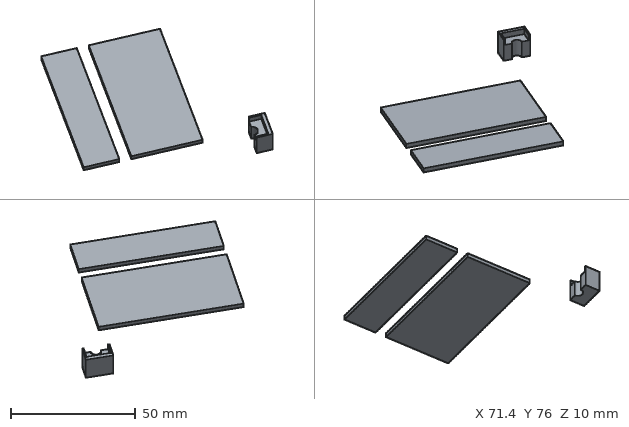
import cadquery as cq

plate_length = 60.0
plate_thickness = 2.0
narrow_plate_width = 15.0
wide_plate_width = 30.0
plate_gap = 5.0

block_length = 11.4
block_depth = 6.8
block_height = 10.0
total_depth = 76.05
block_front = total_depth - block_depth

side_wall = 0.7
back_wall = 1.7
pocket_depth = 2.5

notch_radius = 2.1


def make_plate(width, front):
    """Flat rectangular plate whose front edge lies at the given Y."""
    return (
        cq.Workplane("XY")
        .box(plate_length, width, plate_thickness, centered=False)
        .translate((0, front, 0))
    )


def make_block():
    """Block with a pocket open to the front and a half-round notch."""
    body = cq.Workplane("XY").box(block_length, block_depth, block_height, centered=False)
    pocket = (
        cq.Workplane("XY")
        .box(block_length - 2 * side_wall, block_depth - back_wall, pocket_depth, centered=False)
        .translate((side_wall, 0, block_height - pocket_depth))
    )
    notch = (
        cq.Workplane("XY")
        .center(block_length / 2, 0)
        .circle(notch_radius)
        .extrude(block_height)
    )
    return body.cut(pocket).cut(notch).translate((plate_length, block_front, 0))


narrow_plate = make_plate(narrow_plate_width, 0)
wide_plate = make_plate(wide_plate_width, narrow_plate_width + plate_gap)
block = make_block()

result = cq.Compound.makeCompound([narrow_plate.val(), wide_plate.val(), block.val()])